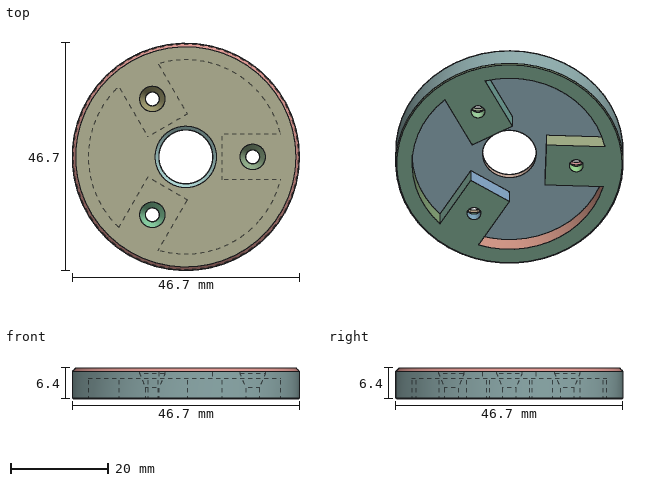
import cadquery as cq

disc_diameter = 46.7
disc_height = 6.4
top_chamfer = 0.75
bottom_chamfer = 0.25

bore_diameter = 11.0
bore_chamfer = 0.8

screw_count = 3
screw_circle_radius = 13.75
screw_hole_diameter = 2.8
screw_head_diameter = 5.25
head_recess_depth = 1.15
head_cone_depth = 2.9

roof_thickness = 2.2
block_inner_distance = 7.45
block_width = 9.35
hollow_depth = disc_height - roof_thickness
hollow_radius = 2 * screw_circle_radius - block_inner_distance


def cut_at_screws(body, tool):
    """Cut the tool, modelled at the +X screw, from the body at every screw."""
    for index in range(screw_count):
        angle = index * 360 / screw_count
        body = body.cut(tool.rotate((0, 0, 0), (0, 0, 1), angle))
    return body


def revolve_about_z(profile):
    """Solid of revolution from a closed outline of (radius, height) points."""
    return cq.Workplane("XZ").polyline(profile).close().revolve(360, (0, 0), (0, 1))


def make_disc():
    """Solid disc standing on Z = 0, with chamfered rims."""
    disc = cq.Workplane("XY").circle(disc_diameter / 2).extrude(disc_height)
    disc = disc.faces(">Z").edges().chamfer(top_chamfer)
    return disc.faces("<Z").edges().chamfer(bottom_chamfer)


def make_hollow():
    """Round hollow open at the bottom, with the screw blocks left out of it."""
    hollow = cq.Workplane("XY").circle(hollow_radius).extrude(hollow_depth)
    block_length = disc_diameter / 2 - block_inner_distance
    block = (
        cq.Workplane("XY")
        .center(block_inner_distance + block_length / 2, 0)
        .rect(block_length, block_width)
        .extrude(hollow_depth)
    )
    return cut_at_screws(hollow, block)


def make_bore():
    """Central through opening with a chamfered upper edge."""
    bore_radius = bore_diameter / 2
    return revolve_about_z([
        (0, 0),
        (bore_radius, 0),
        (bore_radius, disc_height - bore_chamfer),
        (bore_radius + bore_chamfer, disc_height),
        (0, disc_height),
    ])


def make_screw_hole():
    """Through hole with a straight recess above a conical seat, at the +X screw."""
    hole_radius = screw_hole_diameter / 2
    head_radius = screw_head_diameter / 2
    cone_top = disc_height - head_recess_depth
    hole = revolve_about_z([
        (0, 0),
        (hole_radius, 0),
        (hole_radius, cone_top - head_cone_depth),
        (head_radius, cone_top),
        (head_radius, disc_height),
        (0, disc_height),
    ])
    return hole.translate((screw_circle_radius, 0, 0))


cover = make_disc().cut(make_hollow()).cut(make_bore())
result = cut_at_screws(cover, make_screw_hole())